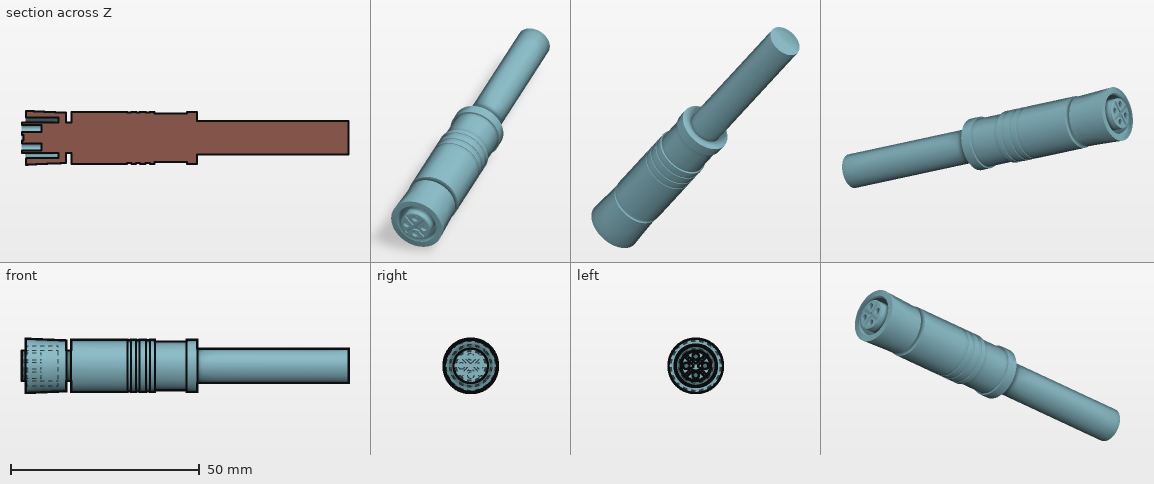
import cadquery as cq
import math


total_length = 86.7
nut_front = 1.0
nut_back = 11.9
body_front = 13.1
waist_front = 35.3
collar_front = 43.7
collar_back = 46.6

insert_radius = 4.1
insert_chamfer = 0.3
insert_chamfer_length = 0.1
nut_front_radius = 7.24
nut_back_radius = 6.8
body_radius = 6.98
waist_radius = 6.5
cable_radius = 4.55

groove_bands = [(28.0, 29.05), (30.35, 31.3), (32.95, 34.0)]
groove_depth = 0.2

bore_radius = 5.3
bore_chamfer = 0.35
bore_depth = 8.7

contact_circle_radius = 2.47
contact_count = 4
contact_hole_radius = 0.9
contact_hole_depth = 5.2
center_hole_radius = 0.65
key_recess_length = 1.17
key_recess_angle = 270
face_slot_width = 0.7
face_slot_length = 3.7
face_slot_depth = 0.4
face_slot_angles = [45, 135, 225, 315]


def cylinder(radius, start, end):
    """Solid cylinder on the X axis between two stations."""
    return cq.Workplane("YZ", origin=(start, 0, 0)).circle(radius).extrude(end - start)


def ring(outer_radius, inner_radius, start, end):
    """Tube on the X axis between two stations."""
    return cylinder(outer_radius, start, end).cut(cylinder(inner_radius, start, end))


def face_slot(width, length, angle):
    """Slot cutter in the contact face, running outwards from the X axis at an angle about it."""
    bar = cq.Workplane("XY").box(face_slot_depth, length, width, centered=(False, False, True))
    return bar.rotate((0, 0, 0), (1, 0, 0), angle)


def turned_shape():
    """Outer shape of insert, nut, neck, body and cable."""
    outline = [
        (0, 0),
        (0, insert_radius - insert_chamfer),
        (insert_chamfer_length, insert_radius),
        (nut_front, insert_radius),
        (nut_front, nut_front_radius),
        (nut_back, nut_back_radius),
        (nut_back, insert_radius),
        (body_front, insert_radius),
        (body_front, body_radius),
        (waist_front, body_radius),
        (waist_front, waist_radius),
        (collar_front, waist_radius),
        (collar_front, body_radius),
        (collar_back, body_radius),
        (collar_back, cable_radius),
        (total_length, cable_radius),
        (total_length, 0),
    ]
    return cq.Workplane("XZ").polyline(outline).close().revolve(360, (0, 0, 0), (1, 0, 0))


def nut_socket():
    """Annular space inside the nut, chamfered at its mouth."""
    mouth_radius = bore_radius + bore_chamfer
    outline = [
        (nut_front, insert_radius),
        (nut_front, mouth_radius),
        (nut_front + bore_chamfer, bore_radius),
        (nut_front + bore_depth, bore_radius),
        (nut_front + bore_depth, insert_radius),
    ]
    return cq.Workplane("XZ").polyline(outline).close().revolve(360, (0, 0, 0), (1, 0, 0))


result = turned_shape().cut(nut_socket())

for start, end in groove_bands:
    result = result.cut(ring(nut_front_radius, body_radius - groove_depth, start, end))

for index in range(contact_count):
    angle = 2 * math.pi * index / contact_count
    y = contact_circle_radius * math.cos(angle)
    z = contact_circle_radius * math.sin(angle)
    result = result.cut(cylinder(contact_hole_radius, 0, contact_hole_depth).translate((0, y, z)))

result = result.cut(cylinder(center_hole_radius, 0, face_slot_depth))
result = result.cut(face_slot(2 * center_hole_radius, key_recess_length, key_recess_angle))
for angle in face_slot_angles:
    result = result.cut(face_slot(face_slot_width, face_slot_length, angle))